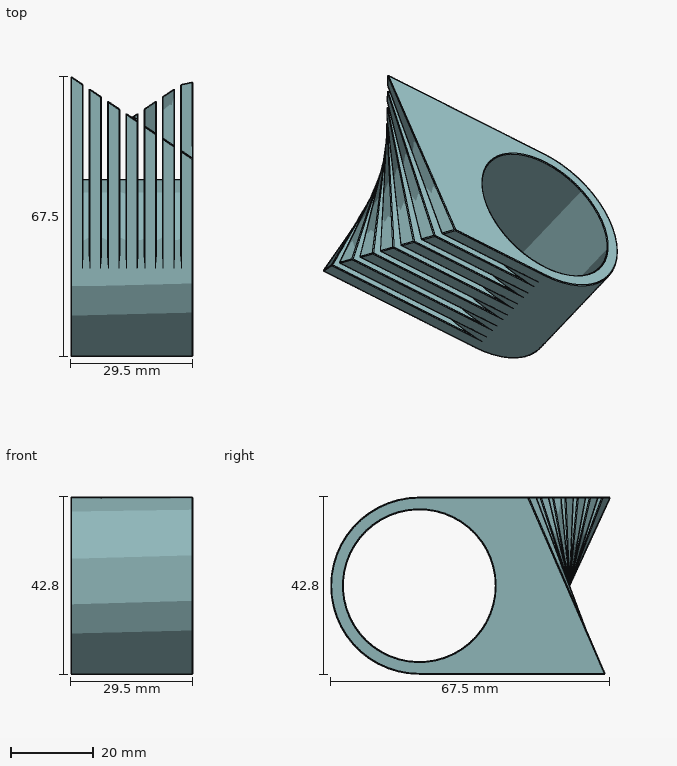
import cadquery as cq

width = 29.5
ring_radius = 21.4
bore_radius = 18.35
overall_length = 67.5
edge_bevel = 0.2

fin_count = 7
fin_width = 3.0
fin_pitch = (width - fin_width) / (fin_count - 1)

tip_bevel_loss = 0.23
long_reach = overall_length - ring_radius + tip_bevel_loss
tip_recess = 20.0
short_reach = long_reach - tip_recess
tip_slope = tip_recess / width
last_corner_trim = 1.35


def fin_profile(x, bottom_trim=0.0):
    """Closed outline at position x: flat at Y = 0, slanted tip on +Y."""
    top_reach = long_reach - tip_slope * x
    bottom_reach = short_reach + tip_slope * x - bottom_trim
    return (
        cq.Workplane("YZ", origin=(x, 0, 0))
        .moveTo(0, ring_radius)
        .lineTo(top_reach, ring_radius)
        .lineTo(bottom_reach, -ring_radius)
        .lineTo(0, -ring_radius)
        .close()
        .val()
    )


def make_fin(index):
    """Plate with a twisted tip; every edge is bevelled except where it joins the ring."""
    start = index * fin_pitch
    trim = last_corner_trim if index == fin_count - 1 else 0.0
    profiles = [fin_profile(start), fin_profile(start + fin_width, trim)]
    fin = cq.Workplane(cq.Solid.makeLoft(profiles, True))
    root_edges = cq.selectors.BoxSelector(
        (-width, -edge_bevel, -overall_length), (2 * width, edge_bevel, overall_length)
    )
    return fin.edges(cq.selectors.InverseSelector(root_edges)).chamfer(edge_bevel)


def make_ring():
    """Drum that carries the fins: a bevelled half on -Y, and the groove floors on +Y."""
    half_space = cq.Workplane("XY").box(
        width, ring_radius, 2 * ring_radius, centered=(False, False, True)
    ).translate((0, -ring_radius, 0))
    front_half = (
        cq.Workplane("YZ")
        .circle(ring_radius)
        .extrude(width)
        .edges("%CIRCLE")
        .chamfer(edge_bevel)
        .intersect(half_space)
    )
    groove_floor = (
        cq.Workplane("YZ", origin=(fin_width / 2, 0, 0))
        .circle(ring_radius)
        .extrude(width - fin_width)
    )
    return front_half.union(groove_floor)


def make_bore():
    """Through hole with a bevelled rim at both ends."""
    bore = cq.Workplane("YZ").circle(bore_radius).extrude(width)
    countersink = (
        cq.Workplane("YZ")
        .circle(bore_radius + edge_bevel)
        .workplane(offset=edge_bevel)
        .circle(bore_radius)
        .loft()
    )
    return bore.union(countersink).union(countersink.mirror("YZ").translate((width, 0, 0)))


body = make_ring()
for fin_index in range(fin_count):
    body = body.union(make_fin(fin_index))

result = body.cut(make_bore())